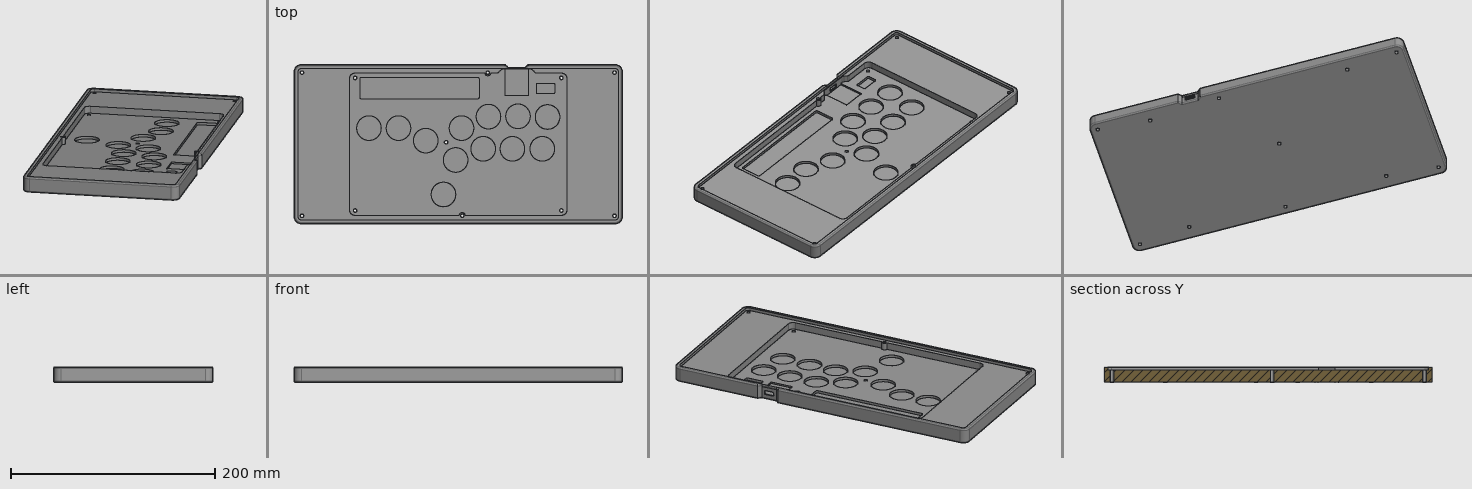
import cadquery as cq

LENGTH = 321.5
WIDTH = 156.0
HEIGHT = 15.0
CORNER_RADIUS = 7.0
EDGE_RADIUS = 1.3

RIM_WIDTH = 4.0
RECESS_DEPTH = 3.0

POCKET_LENGTH = 213.0
POCKET_WIDTH = 139.2
POCKET_RADIUS = 5.0
POCKET_DEPTH = 7.0

INSET_DEPTH = 2.5
BUTTON_DIAMETER = 24.0
BUTTON_CENTERS = [
    (-87.5, 15.8), (-58.5, 15.8), (-31.8, 3.5), (3.2, 15.8),
    (29.5, 27.0), (58.5, 27.3), (87.5, 26.7),
    (24.5, -4.5), (53.0, -4.5), (82.3, -4.5),
    (-2.5, -15.5), (-14.5, -49.2),
]
SCREEN_SIZE = (117.0, 21.2)
SCREEN_CENTER = (-38.0, 55.0)
SCREEN_RADIUS = 1.5
SWITCH_SIZE = (18.0, 10.0)
SWITCH_CENTER = (85.5, 54.7)
SWITCH_RADIUS = 1.0

PORT_X = 57.2
NOTCH_DEPTH = 3.05
NOTCH_BOTTOM_WIDTH = 16.0
BAY_TOP_WIDTH = 29.5
BAY_WALL_Y = WIDTH / 2 - 4.5
BAY_CORNER_RADIUS = 2.5
BOARD_WIDTH = 23.0
BOARD_FRONT_Y = 47.5
BOARD_DEPTH = 1.5
PLUG_WIDTH = 10.0
PLUG_HEIGHT = 4.2
PLUG_RADIUS = 1.3
PLUG_CLEARANCE = 1.3

SCREW_DIAMETER = 3.2
CASE_SCREW_X, CASE_SCREW_Y = 153.0, 70.0
BOARD_SCREW_X, BOARD_SCREW_Y = 101.0, 65.0
CENTER_SCREW = (-12.0, 2.0)
BOSS_SCREWS = [(29.0, CASE_SCREW_Y), (4.0, -CASE_SCREW_Y)]
BOSS_DIAMETER = 6.0

RECESS_Z = HEIGHT - RECESS_DEPTH
POCKET_Z = RECESS_Z - POCKET_DEPTH
BOARD_Z = POCKET_Z - BOARD_DEPTH
INSET_Z = POCKET_Z - INSET_DEPTH


def rounded_block(length, width, height, radius, base_z, center=(0, 0)):
    """Upright block with rounded vertical edges, standing on base_z."""
    block = cq.Workplane("XY", origin=(*center, base_z)).rect(length, width).extrude(height)
    return block.edges("|Z").fillet(radius)


def make_case_blank():
    """Rounded slab with the port notch in its back edge and rounded top and bottom edges."""
    half_bottom = NOTCH_BOTTOM_WIDTH / 2
    half_top = half_bottom + NOTCH_DEPTH
    back_y = WIDTH / 2
    notch = (
        cq.Workplane("XY")
        .polyline([
            (PORT_X - half_top, back_y),
            (PORT_X - half_bottom, back_y - NOTCH_DEPTH),
            (PORT_X + half_bottom, back_y - NOTCH_DEPTH),
            (PORT_X + half_top, back_y),
        ])
        .close()
        .extrude(HEIGHT)
    )
    slab = rounded_block(LENGTH, WIDTH, HEIGHT, CORNER_RADIUS, 0).cut(notch)
    return slab.faces("<Z or >Z").edges().fillet(EDGE_RADIUS)


def make_recess():
    return rounded_block(
        LENGTH - 2 * RIM_WIDTH, WIDTH - 2 * RIM_WIDTH, RECESS_DEPTH, CORNER_RADIUS - RIM_WIDTH, RECESS_Z
    )


def make_pocket():
    """Main pocket with the flared port bay behind it, less the two screw bosses."""
    pocket = rounded_block(POCKET_LENGTH, POCKET_WIDTH, POCKET_DEPTH, POCKET_RADIUS, POCKET_Z)
    pocket_back_y = POCKET_WIDTH / 2
    half_top = BAY_TOP_WIDTH / 2
    half_bottom = half_top + BAY_WALL_Y - pocket_back_y
    bay = (
        cq.Workplane("XY", origin=(PORT_X, 0, POCKET_Z))
        .polyline([
            (-half_bottom, pocket_back_y),
            (-half_top, BAY_WALL_Y),
            (half_top, BAY_WALL_Y),
            (half_bottom, pocket_back_y),
        ])
        .close()
        .extrude(POCKET_DEPTH)
    )
    bosses = (
        cq.Workplane("XY", origin=(0, 0, POCKET_Z))
        .pushPoints(BOSS_SCREWS)
        .circle(BOSS_DIAMETER / 2)
        .extrude(POCKET_DEPTH)
    )
    pocket = pocket.union(bay)
    reach = 0.3
    flank_corners = cq.selectors.BoxSelector(
        (PORT_X - half_bottom - reach, pocket_back_y - reach, POCKET_Z),
        (PORT_X + half_bottom + reach, BAY_WALL_Y + reach, RECESS_Z),
    )
    pocket = pocket.edges("|Z").edges(flank_corners).fillet(BAY_CORNER_RADIUS)
    return pocket.cut(bosses)


def make_floor_insets():
    buttons = (
        cq.Workplane("XY", origin=(0, 0, INSET_Z))
        .pushPoints(BUTTON_CENTERS)
        .circle(BUTTON_DIAMETER / 2)
        .extrude(INSET_DEPTH)
    )
    screen = rounded_block(*SCREEN_SIZE, INSET_DEPTH, SCREEN_RADIUS, INSET_Z, SCREEN_CENTER)
    switch = rounded_block(*SWITCH_SIZE, INSET_DEPTH, SWITCH_RADIUS, INSET_Z, SWITCH_CENTER)
    return buttons.union(screen).union(switch)


def make_port():
    """Board inset in the pocket floor and the plug opening through the back wall."""
    board_length = BAY_WALL_Y - BOARD_FRONT_Y
    board = cq.Workplane("XY").box(BOARD_WIDTH, board_length, BOARD_DEPTH, centered=(True, False, False))
    board = board.translate((PORT_X, BOARD_FRONT_Y, BOARD_Z))
    wall = WIDTH / 2 - BAY_WALL_Y
    plug = cq.Workplane("XY").box(PLUG_WIDTH, wall, PLUG_HEIGHT, centered=(True, False, False))
    plug = plug.edges("|Y").fillet(PLUG_RADIUS)
    plug = plug.translate((PORT_X, BAY_WALL_Y, BOARD_Z + PLUG_CLEARANCE))
    return board.union(plug)


def make_screw_holes():
    corners = [(sx, sy) for sx in (-1, 1) for sy in (-1, 1)]
    centers = [CENTER_SCREW, *BOSS_SCREWS]
    centers += [(sx * CASE_SCREW_X, sy * CASE_SCREW_Y) for sx, sy in corners]
    centers += [(sx * BOARD_SCREW_X, sy * BOARD_SCREW_Y) for sx, sy in corners]
    return cq.Workplane("XY").pushPoints(centers).circle(SCREW_DIAMETER / 2).extrude(HEIGHT)


result = (
    make_case_blank()
    .cut(make_recess())
    .cut(make_pocket())
    .cut(make_floor_insets())
    .cut(make_port())
    .cut(make_screw_holes())
)